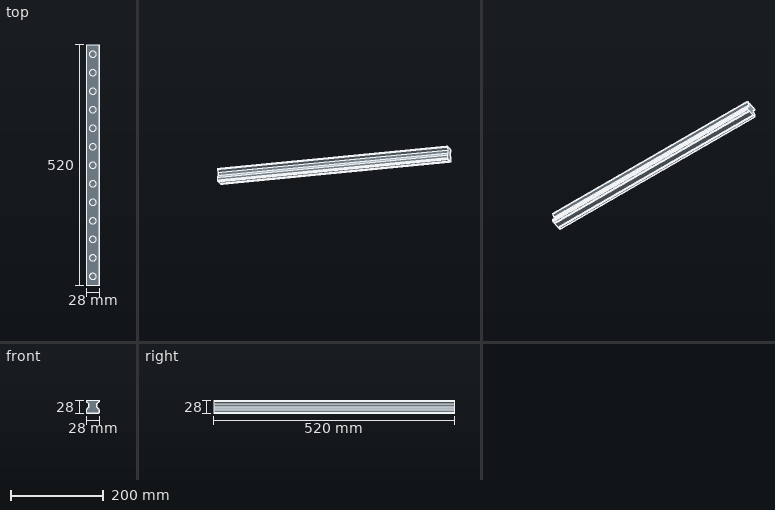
import cadquery as cq

length = 520.0
width = 28.0
height = 28.0

half_width = width / 2
half_waist = 9.0
top_chamfer = 0.5
lip_edge = 2.5
waist_top = 20.5
waist_bottom = 13.5
shoulder_half_width = 12.5
shoulder_height = 10.0
foot_side_top = 7.5
foot_chamfer = 1.5

groove_offset = 7.5
groove_width = 2.0
groove_depth = 0.5

hole_count = 13
hole_pitch = length / hole_count
hole_diameter = 14.0
cap_recess = 0.1


def make_rail():
    """Extrude the waisted, mirror-symmetric rail section along Y."""
    half_rail = (
        cq.Workplane("XZ")
        .moveTo(0, 0)
        .lineTo(half_width - foot_chamfer, 0)
        .lineTo(half_width, foot_chamfer)
        .lineTo(half_width, foot_side_top)
        .lineTo(shoulder_half_width, shoulder_height)
        .lineTo(half_waist, waist_bottom)
        .lineTo(half_waist, waist_top)
        .lineTo(half_width, height - lip_edge)
        .lineTo(half_width, height - top_chamfer)
        .lineTo(half_width - top_chamfer, height)
        .lineTo(0, height)
        .close()
        .extrude(length / 2, both=True)
    )
    return half_rail.union(half_rail.mirror("YZ")).clean()


def cut_grooves(rail):
    """Cut the two full-length grooves in the bottom face."""
    grooves = (
        cq.Workplane("XY")
        .pushPoints([(-groove_offset, 0), (groove_offset, 0)])
        .rect(groove_width, length)
        .extrude(groove_depth)
    )
    return rail.cut(grooves)


def cut_cap_recesses(rail):
    """Sink the evenly spaced row of shallow round recesses."""
    recesses = (
        cq.Workplane("XY")
        .workplane(offset=height - cap_recess)
        .rarray(5, hole_pitch, 1, hole_count)
        .circle(hole_diameter / 2)
        .extrude(cap_recess)
    )
    return rail.cut(recesses)


result = cut_cap_recesses(cut_grooves(make_rail()))